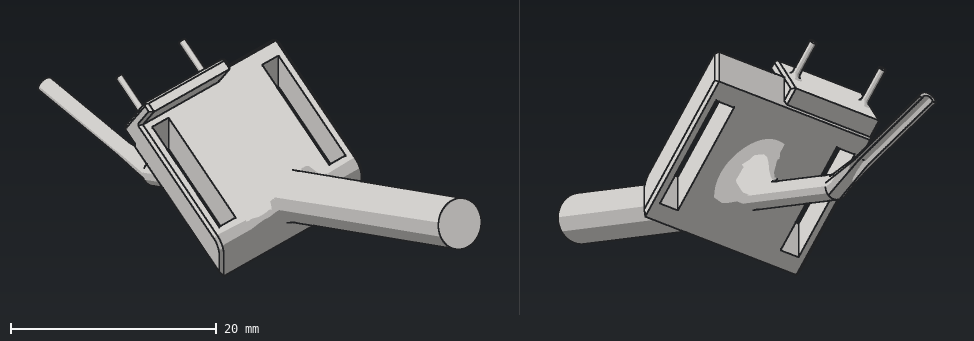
import cadquery as cq
import math

TILT = 30.0
COS = math.cos(math.radians(TILT))
SIN = math.sin(math.radians(TILT))
TAN = math.tan(math.radians(TILT))

HANDLE_DIAMETER = 5.0
HANDLE_LENGTH = 35.2
STEM_DIAMETER = 2.5
STEM_LENGTH = 18.7
HANDLE_FILLET = 2.9
STEM_FILLET = 2.95

BAR_DEPTH = 0.95
TOLERANCE = 0.01

TIP_END_X = -32.75
TIP_START_X = -20.9
TIP_BOTTOM_Z = -9.55
TIP_HEIGHT = 0.85
TIP_WIDTH = 1.95
TIP_THICKNESS = 0.4

TRAY_START = -9.8
TRAY_LENGTH = 15.5
TRAY_END = TRAY_START + TRAY_LENGTH
TRAY_WIDTH = 18.0
TRAY_BOTTOM = 0.2
TRAY_TOP = 3.8
CORNER_RADIUS = 2.05
RIM_CHAMFER = 0.3
TOP_CHAMFER = 0.5

SLOT_WIDTH = 2.05
SLOT_SIDE_INSET = 1.0
SLOT_START_INSET = 1.7
SLOT_END_INSET = 1.55
SLOT_Y = TRAY_WIDTH / 2 - SLOT_SIDE_INSET - SLOT_WIDTH / 2

PLATE_FACE = TRAY_START - 2.2
PLATE_THICKNESS = 1.3
PLATE_OVERLAP = 0.8
PLATE_BOTTOM = 0.5
PLATE_TOP = 7.2
PLATE_SIDE_Y = 1.19
PLATE_WIDTH = TRAY_WIDTH / 2 + PLATE_SIDE_Y

PIN_DIAMETER = 0.8
PIN_LENGTH = 4.0
PIN_HEIGHT = 3.85
PIN_YS = (0.0, -7.9)
PIN_FLARE = 0.45


def tray_profile(y):
    """Workplane at the given Y: local x runs down the slope, local y square to it."""
    return cq.Workplane(cq.Plane(origin=(0, y, 0), xDir=(COS, 0, -SIN), normal=(0, -1, 0)))


def axis_plane(distance, facing=1):
    """Workplane square to the handle axis at a distance from the origin."""
    return cq.Workplane(cq.Plane(origin=(distance * COS, 0, distance * SIN), xDir=(0, 1, 0),
                                 normal=(facing * COS, 0, facing * SIN)))


def slanted_block(start, end, bottom, top, width, mid_y=0.0):
    """Block with sloping top and bottom and vertical ends."""
    outline = [
        (start - bottom * TAN, bottom),
        (end - bottom * TAN, bottom),
        (end - top * TAN, top),
        (start - top * TAN, top),
    ]
    return tray_profile(mid_y + width / 2).polyline(outline).close().extrude(width)


def make_tray():
    tray = slanted_block(TRAY_START, TRAY_END, TRAY_BOTTOM, TRAY_TOP, TRAY_WIDTH)
    tray = tray.edges("|Y").edges(">(1, 0, 1)").fillet(CORNER_RADIUS)
    tray = tray.edges("|Y").edges(">Z").chamfer(TOP_CHAMFER)
    return tray.faces(">Y or <Y").edges().chamfer(RIM_CHAMFER)


def make_slot(y):
    start = TRAY_START + SLOT_START_INSET / COS
    end = TRAY_END - SLOT_END_INSET / COS
    return slanted_block(start, end, -TRAY_TOP, 2 * TRAY_TOP, SLOT_WIDTH, y)


def make_plate():
    back = PLATE_FACE + PLATE_THICKNESS
    foot_end = TRAY_START + PLATE_OVERLAP
    outline = [
        (PLATE_FACE, PLATE_BOTTOM),
        (foot_end - PLATE_BOTTOM * TAN, PLATE_BOTTOM),
        (back, TRAY_TOP),
        (back, PLATE_TOP),
        (PLATE_FACE, PLATE_TOP),
    ]
    plate = tray_profile(PLATE_SIDE_Y).polyline(outline).close().extrude(PLATE_WIDTH)
    plate = plate.faces(">Y or <Y").edges().chamfer(RIM_CHAMFER)
    return plate.edges("|Y").edges(">Z").chamfer(RIM_CHAMFER)


def make_pin(y):
    radius = PIN_DIAMETER / 2
    flare_end = PLATE_FACE - PIN_FLARE
    tip = PLATE_FACE - PIN_LENGTH
    tuck = (2 - math.sqrt(2)) / 2 * PIN_FLARE
    root = PLATE_FACE + PLATE_THICKNESS / 2
    return (
        tray_profile(y)
        .moveTo(root, PIN_HEIGHT)
        .lineTo(root, PIN_HEIGHT + radius + PIN_FLARE)
        .lineTo(PLATE_FACE, PIN_HEIGHT + radius + PIN_FLARE)
        .threePointArc((PLATE_FACE - tuck, PIN_HEIGHT + radius + tuck),
                       (flare_end, PIN_HEIGHT + radius))
        .lineTo(tip, PIN_HEIGHT + radius)
        .lineTo(tip, PIN_HEIGHT)
        .close()
        .revolve(360, (0, PIN_HEIGHT), (1, PIN_HEIGHT))
    )


def filleted_foot(joined, diameter, fillet):
    """Fillet every edge near the tray that lies on the surface of a bar on the handle axis."""
    foot = []
    for edge in joined.edges().vals():
        points = [edge.positionAt(step / 4) for step in range(5)]
        on_bar = [abs(math.hypot(p.y, p.z * COS - p.x * SIN) - diameter / 2) < TOLERANCE for p in points]
        near_tray = [abs(p.x * COS + p.z * SIN) < TRAY_LENGTH / 2 for p in points]
        if all(on_bar) and all(near_tray):
            foot.append(edge)
    return joined.newObject(foot).fillet(fillet)


def add_handle(tray):
    """Handle rising from the top and rounded corner of the tray."""
    buried = slanted_block(TRAY_START, TRAY_END - BAR_DEPTH, -TRAY_TOP, TRAY_TOP - BAR_DEPTH, TRAY_WIDTH)
    bar = axis_plane(0).circle(HANDLE_DIAMETER / 2).extrude(HANDLE_LENGTH).cut(buried)
    return filleted_foot(tray.union(bar), HANDLE_DIAMETER, HANDLE_FILLET)


def add_stem(tray):
    """Stem leaving the underside of the tray."""
    bar = axis_plane(BAR_DEPTH + STEM_DIAMETER / 2, -1).circle(STEM_DIAMETER / 2)
    bar = bar.extrude(BAR_DEPTH + STEM_DIAMETER / 2 + STEM_LENGTH)
    return filleted_foot(tray.union(bar), STEM_DIAMETER, STEM_FILLET)


def make_tip():
    """Arched strip, blended into the round end of the stem."""
    half = TIP_WIDTH / 2
    inner_half = half - TIP_THICKNESS
    inner_top = TIP_HEIGHT - TIP_THICKNESS

    def arch():
        plane = cq.Plane(origin=(TIP_START_X, 0, TIP_BOTTOM_Z), xDir=(0, 1, 0), normal=(1, 0, 0))
        return (
            cq.Workplane(plane)
            .moveTo(-half, 0)
            .threePointArc((0, TIP_HEIGHT), (half, 0))
            .lineTo(inner_half, 0)
            .threePointArc((0, inner_top), (-inner_half, 0))
            .close()
        )

    radius = STEM_DIAMETER / 2
    stem_end = (
        axis_plane(-STEM_LENGTH)
        .moveTo(-radius, 0)
        .threePointArc((0, radius), (radius, 0))
        .threePointArc((radius * COS, -radius * SIN), (radius * SIN, -radius * COS))
        .threePointArc((0, -radius), (-radius * SIN, -radius * COS))
        .threePointArc((-radius * COS, -radius * SIN), (-radius, 0))
        .close()
    )
    blend = cq.Solid.makeLoft([arch().val(), stem_end.val()], True)
    return arch().extrude(TIP_END_X - TIP_START_X).union(cq.Workplane(blend))


body = add_stem(add_handle(make_tray()))
for slot_y in (-SLOT_Y, SLOT_Y):
    body = body.cut(make_slot(slot_y))

result = body.union(make_plate()).union(make_tip())
for pin_y in PIN_YS:
    result = result.union(make_pin(pin_y))